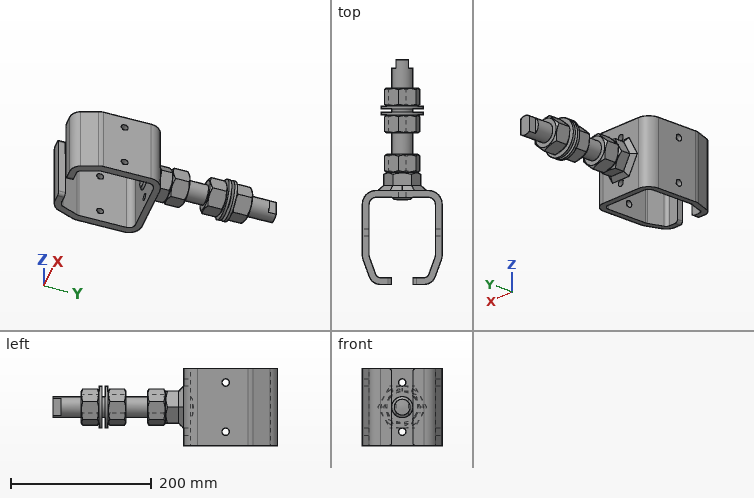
import cadquery as cq
import math


bracket_width = 114.0
bracket_depth = 134.0
bracket_height = 110.0
plate = 10.0
web_outer_radius = 20.0
side_bend_radius = 20.0
lip_outer_radius = 17.0
side_length = 92.0
taper_angle = 20.0
mouth_width = 30.0
lip_corner_radius = 5.0
select_margin = 1.0

hole_diameter = 10.11
hole_offset = 35.0
side_hole_depth = 60.0

stud_diameter = 30.0
stud_length = 186.0
flat_length = 12.0
flat_width = 18.0
tip_diameter = 22.5
tip_taper_length = 3.0
tip_length = 4.0

nut_across_flats = 46.0
nut_height = 26.0
nut_chamfer_angle = 30.0
nut_face_diameter = 0.95 * nut_across_flats
nut_turn = 42.0
washer_diameter = 60.0
washer_thickness = 4.0
washer_gap = 4.5
outer_nut_end = 146.0

base_nut_height = 25.5
weld_size = 7.0
weld_angle = 45.0
weld_seam = 0.6


def along_y(y):
    """Workplane across the stud axis at the given Y, extruding towards +Y."""
    return cq.Workplane(cq.Plane((0, y, 0), (1, 0, 0), (0, 1, 0)))


def cylinder(diameter, start, length):
    return along_y(start).circle(diameter / 2).extrude(length)


def six_sided_prism(top_y, side_x, bend_y, foot_x, foot_y):
    """Prism on a symmetric six-sided outline with sharp corners."""
    right_side = [(side_x, top_y), (side_x, bend_y), (foot_x, foot_y)]
    left_side = [(-x, y) for x, y in reversed(right_side)]
    outline = cq.Workplane("XY").polyline(right_side + left_side).close()
    return outline.extrude(bracket_height / 2, both=True)


def round_corners(body, corners):
    """Fillet the Z edges lying at each (Y position, radius) in corners."""
    for y, radius in corners:
        band = cq.selectors.BoxSelector(
            (-bracket_width, y - select_margin, -bracket_height),
            (bracket_width, y + select_margin, bracket_height),
        )
        body = body.edges("|Z").edges(band).fillet(radius)
    return body


def make_bracket():
    half_width = bracket_width / 2
    half_taper_tan = math.tan(math.radians(taper_angle / 2))
    taper_tan = math.tan(math.radians(taper_angle))

    foot_y = -bracket_depth
    bend_y = -side_length - side_bend_radius * half_taper_tan
    foot_x = half_width - (bend_y - foot_y) * taper_tan
    outer = six_sided_prism(0, half_width, bend_y, foot_x, foot_y)
    outer = round_corners(
        outer,
        [(0, web_outer_radius), (bend_y, side_bend_radius), (foot_y, lip_outer_radius)],
    )

    inner_half_width = half_width - plate
    inner_foot_y = foot_y + plate
    inner_bend_y = bend_y + plate * half_taper_tan
    inner_foot_x = inner_half_width - (inner_bend_y - inner_foot_y) * taper_tan
    inner = six_sided_prism(-plate, inner_half_width, inner_bend_y, inner_foot_x, inner_foot_y)
    inner = round_corners(
        inner,
        [
            (-plate, web_outer_radius - plate),
            (inner_bend_y, side_bend_radius - plate),
            (inner_foot_y, lip_outer_radius - plate),
        ],
    )

    mouth = cq.Workplane("XY").box(mouth_width, 2 * plate, bracket_height).translate((0, foot_y, 0))
    bracket = outer.cut(inner).cut(mouth)

    lip_ends = cq.selectors.BoxSelector(
        (-mouth_width, foot_y - select_margin, -bracket_height),
        (mouth_width, inner_foot_y + select_margin, bracket_height),
    )
    return bracket.edges("|Y").edges(lip_ends).fillet(lip_corner_radius)


def drill(bracket):
    for z in (-hole_offset, hole_offset):
        web_hole = cylinder(hole_diameter, -2 * plate, 2 * plate).translate((0, 0, z))
        side_hole = (
            cq.Workplane("YZ")
            .center(-side_hole_depth, z)
            .circle(hole_diameter / 2)
            .extrude(bracket_width, both=True)
        )
        bracket = bracket.cut(web_hole).cut(side_hole)
    return bracket


def make_stud():
    shank_start = -plate
    radius = stud_diameter / 2
    stud = (
        cq.Workplane("XY")
        .moveTo(0, stud_length)
        .lineTo(radius, stud_length)
        .lineTo(radius, shank_start)
        .lineTo(tip_diameter / 2, shank_start - tip_taper_length)
        .lineTo(0, shank_start - tip_length)
        .close()
        .revolve(360, (0, 0, 0), (0, 1, 0))
    )
    for side in (-1, 1):
        offcut = cq.Workplane("XY").box(stud_diameter, 2 * flat_length, stud_diameter)
        stud = stud.cut(offcut.translate((side * (flat_width + stud_diameter) / 2, stud_length, 0)))
    return stud


def corner_radius(across_flats):
    return across_flats / 2 / math.cos(math.pi / 6)


def hexagon(start, across_flats):
    """Hexagon across the stud axis with vertices towards +X and -X."""
    return along_y(start).polygon(6, 2 * corner_radius(across_flats))


def make_nut(start, height, both_ends):
    """Hex nut with its corners turned off conically at the +Y end, or at both ends."""
    corner = corner_radius(nut_across_flats)
    face = nut_face_diameter / 2
    drop = (corner - face) * math.tan(math.radians(nut_chamfer_angle))
    end = start + height
    envelope = cq.Workplane("XY").moveTo(0, start)
    if both_ends:
        envelope = envelope.lineTo(face, start).lineTo(corner, start + drop)
    else:
        envelope = envelope.lineTo(corner, start)
    envelope = (
        envelope.lineTo(corner, end - drop)
        .lineTo(face, end)
        .lineTo(0, end)
        .close()
        .revolve(360, (0, 0, 0), (0, 1, 0))
    )
    return hexagon(start, nut_across_flats).extrude(height).intersect(envelope)


def make_base_nut():
    nut = make_nut(0, base_nut_height, both_ends=False)
    weld = hexagon(0, nut_across_flats + 2 * weld_size).extrude(weld_size, taper=weld_angle)
    seam = cq.Workplane("XY").box(weld_seam, weld_size, nut_across_flats)
    seam = seam.translate((0, weld_size / 2, nut_across_flats / 2))
    return weld.cut(seam).union(nut)


def add_loose_hardware(body):
    outer_nut = outer_nut_end - nut_height
    outer_washer = outer_nut - washer_thickness
    inner_washer = outer_washer - washer_gap - washer_thickness
    inner_nut = inner_washer - nut_height
    for start in (base_nut_height, inner_nut, outer_nut):
        nut = make_nut(start, nut_height, both_ends=True)
        body = body.union(nut.rotate((0, 0, 0), (0, 1, 0), -nut_turn))
    for start in (inner_washer, outer_washer):
        body = body.union(cylinder(washer_diameter, start, washer_thickness))
    return body


bracket = drill(make_bracket())
result = add_loose_hardware(bracket.union(make_stud()).union(make_base_nut()))